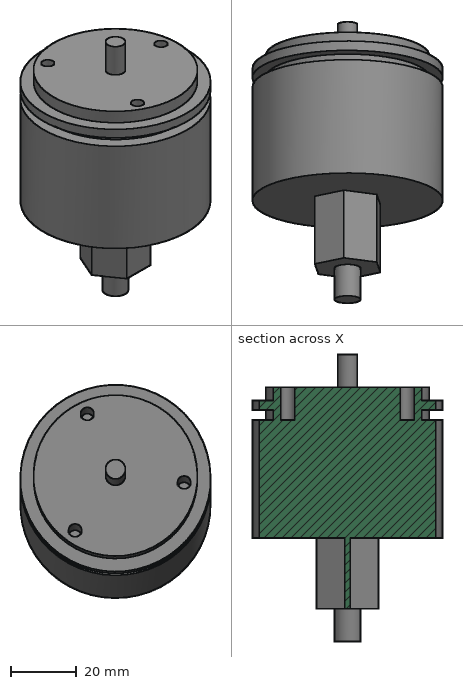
import cadquery as cq
import math

stub_length = 10.0
hex_height = 21.5
body_height = 36.05
groove_height = 3.0
flange_height = 3.0
cap_height = 4.0
shaft_length = 10.0

body_diameter = 58.0
cap_diameter = 50.0
shaft_diameter = 6.0
stub_diameter = 8.0
hex_across_flats = 19.0
hex_across_corners = hex_across_flats / math.cos(math.pi / 6)

hole_count = 3
hole_diameter = 4.0
hole_circle_diameter = 42.0
hole_depth = 10.0

hex_bottom = stub_length
body_bottom = hex_bottom + hex_height
groove_bottom = body_bottom + body_height
flange_bottom = groove_bottom + groove_height
cap_bottom = flange_bottom + flange_height
cap_top = cap_bottom + cap_height


def cylinder(diameter, bottom, height):
    """Upright cylinder on the Z axis."""
    return cq.Workplane("XY").workplane(offset=bottom).circle(diameter / 2).extrude(height)


hexagon = (
    cq.Workplane("XY")
    .workplane(offset=hex_bottom)
    .polygon(6, hex_across_corners)
    .extrude(hex_height)
)

mounting_holes = (
    cq.Workplane("XY")
    .workplane(offset=cap_top - hole_depth)
    .polarArray(hole_circle_diameter / 2, 0, 360, hole_count)
    .circle(hole_diameter / 2)
    .extrude(hole_depth)
)

result = (
    cylinder(stub_diameter, 0, stub_length)
    .union(hexagon)
    .union(cylinder(body_diameter, body_bottom, body_height))
    .union(cylinder(cap_diameter, groove_bottom, cap_top - groove_bottom))
    .union(cylinder(body_diameter, flange_bottom, flange_height))
    .union(cylinder(shaft_diameter, cap_top, shaft_length))
    .cut(mounting_holes)
)